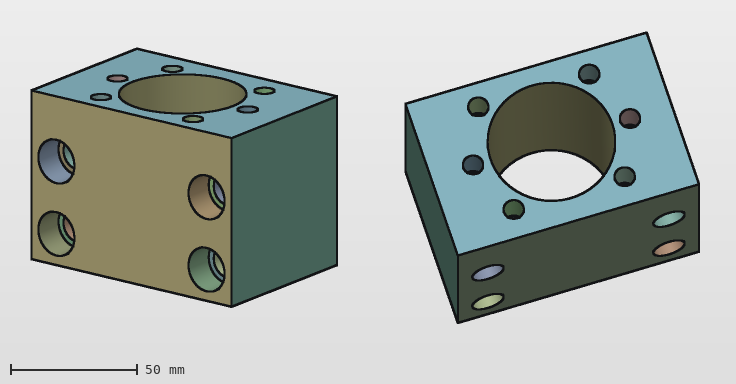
import cadquery as cq
import math

LENGTH = 100.0
WIDTH = 68.0
HEIGHT = 70.0

BORE_DIAMETER = 50.4
BORE_Y = -1.0

BOLT_CIRCLE_DIAMETER = 65.0
BOLT_ANGLES = (0, 45, 135, 180, 225, 315)
THREAD_DIAMETER = 8.0
THREAD_DEPTH = 16.0
DRILL_DIAMETER = 7.0
DRILL_DEPTH = 20.0
DRILL_POINT_ANGLE = 118.0

MOUNT_SPACING_X = 75.0
MOUNT_SPACING_Z = 30.0
LOWER_MOUNT_Z = 13.0
MOUNT_DIAMETER = 13.0
COUNTERBORE_DIAMETER = 18.0
COUNTERBORE_DEPTH = 13.0


def threaded_hole():
    """Solid to remove for one stepped blind hole, its mouth at the origin and opening upward."""
    drill_radius = DRILL_DIAMETER / 2
    thread_radius = THREAD_DIAMETER / 2
    point_height = drill_radius / math.tan(math.radians(DRILL_POINT_ANGLE / 2))
    return (
        cq.Workplane("XZ")
        .polyline([
            (0, 0),
            (thread_radius, 0),
            (thread_radius, -THREAD_DEPTH),
            (drill_radius, -THREAD_DEPTH),
            (drill_radius, -DRILL_DEPTH),
            (0, -DRILL_DEPTH - point_height),
        ])
        .close()
        .revolve(360, (0, 0, 0), (0, 1, 0))
    )


def cut_mounting_holes(body):
    """Drill the four mounting holes, counterbored from the -Y face."""
    mount_points = [
        (side * MOUNT_SPACING_X / 2, LOWER_MOUNT_Z + row * MOUNT_SPACING_Z)
        for side in (-1, 1)
        for row in (0, 1)
    ]
    return (
        body.faces("<Y")
        .workplane(origin=(0, -WIDTH / 2, 0))
        .pushPoints(mount_points)
        .cboreHole(MOUNT_DIAMETER, COUNTERBORE_DIAMETER, COUNTERBORE_DEPTH)
    )


def cut_threaded_holes(body):
    """Cut the blind threaded holes into the top face around the bore."""
    radius = BOLT_CIRCLE_DIAMETER / 2
    for angle in BOLT_ANGLES:
        x = radius * math.cos(math.radians(angle))
        y = BORE_Y + radius * math.sin(math.radians(angle))
        body = body.cut(threaded_hole().translate((x, y, HEIGHT)))
    return body


block = cq.Workplane("XY").box(LENGTH, WIDTH, HEIGHT, centered=(True, True, False))
block = block.faces(">Z").workplane(origin=(0, BORE_Y, 0)).hole(BORE_DIAMETER)
block = cut_mounting_holes(block)
result = cut_threaded_holes(block)